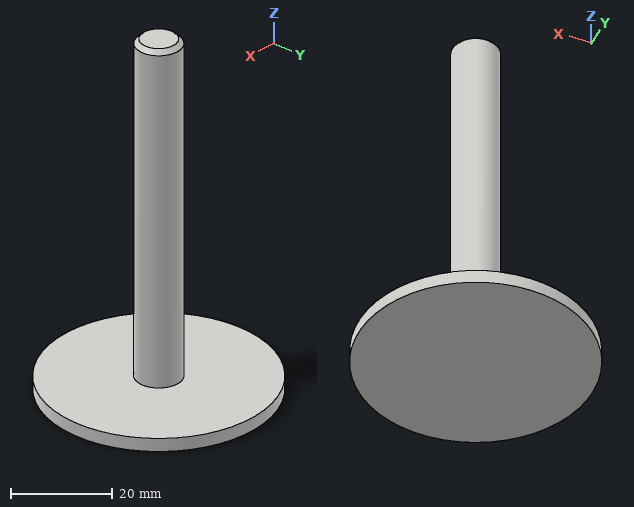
import cadquery as cq

total_height = 80.0
base_diameter = 50.0
base_thickness = 3.0
rod_diameter = 10.0
rod_tip_chamfer = 1.0

rod_length = total_height - base_thickness


def make_base():
    """Flat round disc with its underside at Z = 0."""
    return cq.Workplane("XY").circle(base_diameter / 2).extrude(base_thickness)


def make_rod():
    """Upright round rod, centred on the base, with a chamfered tip."""
    return (
        cq.Workplane("XY")
        .workplane(offset=base_thickness)
        .circle(rod_diameter / 2)
        .extrude(rod_length)
        .faces(">Z")
        .chamfer(rod_tip_chamfer)
    )


base = make_base()
rod = make_rod()

result = cq.Compound.makeCompound([base.val(), rod.val()])